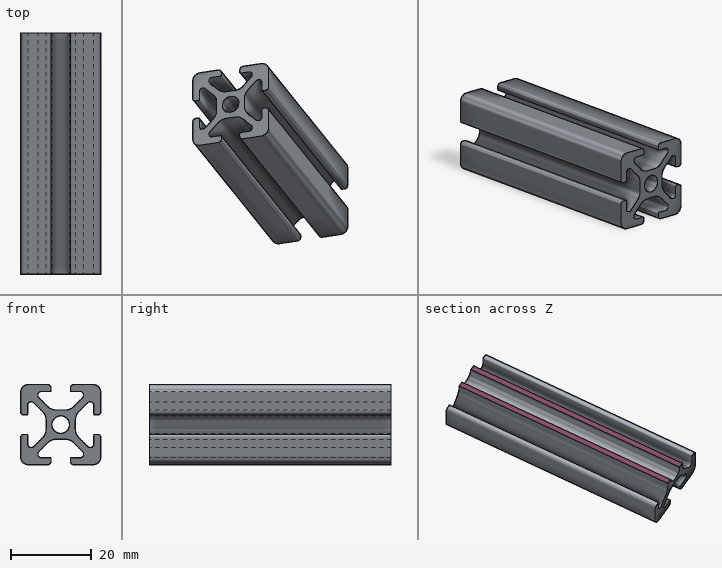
import cadquery as cq
import math

side = 20.0
length = 60.0
corner_radius = 2.0
bore_diameter = 4.3

slot_half_width = 2.4
lip_thickness = 1.8
cavity_half_width = 5.65
hub_half_width = 3.65
web_thickness = 1.8

lip_outer_radius = 0.85
lip_inner_radius = 0.3
cavity_radius = 0.8
hub_radius = 3.0

half_side = side / 2
lip_inner_z = half_side - lip_thickness
web_offset = web_thickness / math.sqrt(2)
floor_half_width = hub_half_width - web_offset
cavity_wall_z = cavity_half_width + web_offset


def edges_at(x, z):
    """Select the pair of lengthwise edges at (-x, z) and (x, z)."""
    reach = 0.005
    left = cq.selectors.BoxSelector((-x - reach, -length, z - reach), (-x + reach, length, z + reach))
    right = cq.selectors.BoxSelector((x - reach, -length, z - reach), (x + reach, length, z + reach))
    return left + right


def bar():
    body = cq.Workplane("XY").box(side, length, side)
    return body.edges("|Y").fillet(corner_radius)


def slot_cutter():
    """Full-length cutter for the slot in the +Z face, with its cavity and floor rounded."""
    right_points = [
        (floor_half_width, hub_half_width),
        (cavity_half_width, cavity_wall_z),
        (cavity_half_width, lip_inner_z),
        (slot_half_width, lip_inner_z),
        (slot_half_width, half_side),
    ]
    left_points = [(-x, z) for x, z in reversed(right_points)]
    cutter = cq.Workplane("XZ").polyline(right_points + left_points).close().extrude(length / 2, both=True)
    cutter = cutter.edges(edges_at(floor_half_width, hub_half_width)).fillet(hub_radius)
    cutter = cutter.edges(edges_at(cavity_half_width, cavity_wall_z)).fillet(cavity_radius)
    cutter = cutter.edges(edges_at(cavity_half_width, lip_inner_z)).fillet(cavity_radius)
    return cutter.edges(edges_at(slot_half_width, lip_inner_z)).fillet(lip_inner_radius)


def cut_slot(body):
    """Cut the slot in the +Z face and round the outer edges of its lips."""
    body = body.cut(slot_cutter())
    return body.edges(edges_at(slot_half_width, half_side)).fillet(lip_outer_radius)


result = bar()
for face in range(4):
    result = cut_slot(result).rotate((0, 0, 0), (0, 1, 0), 90)

bore = cq.Workplane("XZ").circle(bore_diameter / 2).extrude(length / 2, both=True)
result = result.cut(bore)